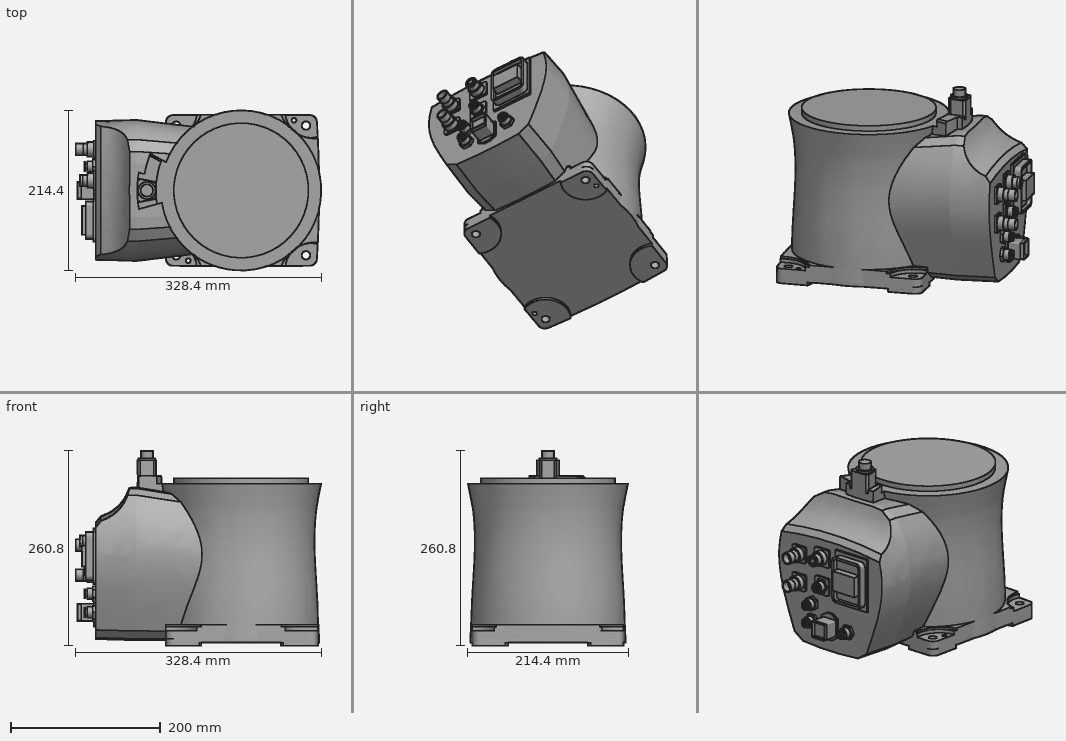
import cadquery as cq
import math

RIM_R = 107.22
RIM_TOP = 217.1
RIM_BOTTOM = 201.2
NECK_R = 104.0
WAIST_R = 98.4
WAIST_Z = 145.0
CALF_R = 99.8
CALF_Z = 100.0
SKIRT_R = 103.0
SKIRT_Z = 28.0
FOOT_R = 103.9
CAP_R = 90.0
CAP_TOP = 224.5

FEET_TOP = 4.4
PLATE_TOP = 9.5
PAD_TOP = 28.3
PAD_DRAFT = 1.0
CORNER_HALF = 100.8
SIDE_BOW_Y = 101.4
SIDE_BOW_X = 104.5
BASE_CORNER_R = 10.0
FOOT_PAD_R = 33.7
POCKET_FLOOR = 20.5
LEDGE_FLOOR = 25.5
POCKET_START_X = 59.0
LEDGE_START_X = 52.0
POCKET_MID = (77.5, 74.5)
POCKET_END_Y = 73.0
LEDGE_END_Y = 69.5
POCKET_OUT = 106.0
BOLT_HALF_PITCH = 86.7
BOLT_D = 11.0
DOWEL_X = 70.7
DOWEL_Y = 93.8
DOWEL_D = 6.0

PANEL_X = -194.5
SEAM_X = -139.8
INNER_X = -45.0
PANEL_SIZE = (93.0, 8.8, 210.5)
SEAM_SIZE = (94.5, 7.2, 212.0)
INNER_SIZE = (83.0, 8.0, 196.6)

SCOOP_BRINK = (-149.5, 211.5)
SCOOP_WALL = (-164.0, 187.0)
SCOOP_LIP = (-187.5, 173.4)
SCOOP_PANEL = (PANEL_X, 165.0)
SCOOP_END_HALF = 100.0
SCOOP_END_DROP = 8.5
CLEARANCE = 20.0

BRACKET_R = 139.0
ARM_R = 131.0
BRACKET_SEAT_R = 114.0
BRACKET_BOTTOM = 203.0
BRACKET_TOP = 227.4
ARM_END_CHAMFER = 2.5
POST_X = -126.0
POST_INNER_X = -113.8
POST_SEAT = 222.5
POST_TOP = 248.4
COLLAR_D = 23.0
COLLAR_TOP = 251.2
PLUG_D = 16.4
PLUG_TOP = 260.8

LARGE_SOCKETS = [(54.9, 134.8), (54.9, 94.7)]
MEDIUM_SOCKET = (13.4, 140.3)
FLANGED_GLAND = (13.4, 99.7)
POINTED_GLANDS = [(32.0, 44.8), (-32.3, 44.8)]
SIDEWAYS_GLAND = (32.0, 69.9)
SQUARE_PORT = (0.0, 44.8)
DISPLAY = (-39.9, 120.0)
FLANGE_T = 2.7
FLANGE_R = 3.0
SHOULDER_D = 19.8
SHOULDER_END_X = -205.4
LARGE_END_X = -221.16
MEDIUM_END_X = -215.7
HEX_T = 4.0
HEX_ACROSS_FLATS = 17.7
CORNER_UP = 30
CORNER_SIDEWAYS = 0
GLAND_FLANGE = 24.7
GLAND_D = 14.6
GLAND_END_X = -206.0
GLAND_NECK_D = 8.5
GLAND_DISC_D = 12.3
GLAND_DISC_X = -208.5
GLAND_TIP_X = -210.0
GLAND_BORE_D = 4.6
GLAND_BORE_DEPTH = 3.0


def on_panel(x, spot=(0, 0)):
    """Sketch plane facing -X at the given X; local x is -Y and local y is Z."""
    return cq.Workplane(cq.Plane((x, spot[0], spot[1]), (0, -1, 0), (-1, 0, 0)))


def cylinder(spot, d, x_start, x_end):
    return on_panel(x_start, spot).circle(d / 2).extrude(x_start - x_end)


def block(spot, width, height, x_start, x_end):
    return on_panel(x_start, spot).rect(width, height).extrude(x_start - x_end)


def disc(z_bottom, z_top, d, x=0):
    return cq.Workplane("XY", (x, 0, z_bottom)).circle(d / 2).extrude(z_top - z_bottom)


def make_column():
    body = (
        cq.Workplane("YZ")
        .moveTo(0, FEET_TOP)
        .lineTo(-FOOT_R, FEET_TOP)
        .lineTo(-FOOT_R, PLATE_TOP)
        .lineTo(-SKIRT_R, SKIRT_Z)
        .spline([(-CALF_R, CALF_Z), (-WAIST_R, WAIST_Z), (-NECK_R, RIM_BOTTOM)], includeCurrent=True)
        .lineTo(-RIM_R, RIM_TOP)
        .lineTo(0, RIM_TOP)
        .close()
        .revolve(360, (0, 0), (0, 1))
    )
    behind_base = (
        cq.Workplane("XY", (-CORNER_HALF, 0, FEET_TOP))
        .rect(RIM_R, 2 * RIM_R)
        .extrude(PAD_TOP - FEET_TOP)
        .translate((-RIM_R / 2, 0, 0))
    )
    return body.cut(behind_base).union(disc(RIM_TOP, CAP_TOP, 2 * CAP_R))


def base_slab(z_bottom, z_top, draft=0):
    """Base outline with three bowed edges and a straight -X edge."""
    c = CORNER_HALF
    return (
        cq.Workplane("XY", (0, 0, z_bottom))
        .moveTo(-c, -c)
        .threePointArc((0, -SIDE_BOW_Y), (c, -c))
        .threePointArc((SIDE_BOW_X, 0), (c, c))
        .threePointArc((0, SIDE_BOW_Y), (-c, c))
        .close()
        .extrude(z_top - z_bottom, taper=draft)
        .edges("not(<Z or >Z)")
        .fillet(BASE_CORNER_R)
    )


def corner_pocket(start_x, end_y, floor):
    return (
        cq.Workplane("XY", (0, 0, floor))
        .moveTo(start_x, POCKET_OUT)
        .threePointArc(POCKET_MID, (POCKET_OUT, end_y))
        .lineTo(POCKET_OUT, POCKET_OUT)
        .close()
        .extrude(PAD_TOP - floor)
    )


def at_four_corners(shape):
    """The shape in the +X +Y corner and its three mirror images."""
    pair = shape.union(shape.mirror("YZ"))
    return pair.union(pair.mirror("XZ"))


def bolt_circles(d, height):
    return (
        cq.Workplane("XY")
        .rect(2 * BOLT_HALF_PITCH, 2 * BOLT_HALF_PITCH, forConstruction=True)
        .vertices()
        .circle(d / 2)
        .extrude(height)
    )


def make_base():
    plate = base_slab(FEET_TOP, PLATE_TOP)
    pads = base_slab(PLATE_TOP, PAD_TOP, PAD_DRAFT)
    feet = bolt_circles(2 * FOOT_PAD_R, FEET_TOP).intersect(base_slab(0, FEET_TOP))
    return plate.union(pads).union(feet)


def corner_cuts():
    pocket = corner_pocket(POCKET_START_X, POCKET_END_Y, POCKET_FLOOR)
    ledge = corner_pocket(LEDGE_START_X, LEDGE_END_Y, LEDGE_FLOOR)
    return at_four_corners(pocket.union(ledge))


def base_holes():
    bolts = bolt_circles(BOLT_D, PAD_TOP)
    dowels = (
        cq.Workplane("XY")
        .pushPoints([(DOWEL_X, DOWEL_Y), (-DOWEL_X, -DOWEL_Y)])
        .circle(DOWEL_D / 2)
        .extrude(PAD_TOP)
    )
    return bolts.union(dowels)


def housing_section(x, size):
    """Closed outline of the housing at X, scaled from the seam section."""
    half, bottom, top = size
    y_scale = half / SEAM_SIZE[0]
    z_scale = (top - bottom) / (SEAM_SIZE[2] - SEAM_SIZE[1])

    def at(y, z):
        return cq.Vector(x, y * y_scale, bottom + (z - SEAM_SIZE[1]) * z_scale)

    shoulder = (68.0, 201.5)
    hip = (66.0, 20.0)
    roof = [(36.5, SEAM_SIZE[2]), (52.0, 210.5), shoulder]
    flank = [shoulder, (87.2, 167.0), (SEAM_SIZE[0], 127.0), (82.5, 64.0), hip]
    keel = [hip, (50.0, 9.5)]

    def half_outline(side):
        edges = []
        for run in (roof, keel):
            for a, b in zip(run, run[1:]):
                edges.append(cq.Edge.makeLine(at(side * a[0], a[1]), at(side * b[0], b[1])))
        edges.append(cq.Edge.makeSpline([at(side * y, z) for y, z in flank]))
        return edges

    roof_y, roof_z = roof[0]
    keel_y, keel_z = keel[-1]
    flat = cq.Edge.makeLine(at(-roof_y, roof_z), at(roof_y, roof_z))
    belly = cq.Edge.makeThreePointArc(
        at(-keel_y, keel_z), at(0, SEAM_SIZE[1]), at(keel_y, keel_z)
    )
    return cq.Wire.combine([flat, belly] + half_outline(1) + half_outline(-1))[0]


def scoop_section(y, drop):
    """Section at Y of the volume removed above the panel, lowered by drop."""
    def at(x, z):
        return cq.Vector(x, y, z - drop)

    high = SCOOP_BRINK[1] + 2 * CLEARANCE
    step_x = SCOOP_BRINK[0] - SCOOP_WALL[0]
    step_z = SCOOP_BRINK[1] - SCOOP_WALL[1]
    above = (SCOOP_BRINK[0] + step_x, SCOOP_BRINK[1] + step_z)
    beyond_x = PANEL_X - CLEARANCE
    hollow = cq.Edge.makeSpline([at(*p) for p in (SCOOP_BRINK, SCOOP_WALL, SCOOP_LIP)])
    rest = [SCOOP_LIP, SCOOP_PANEL, (beyond_x, SCOOP_PANEL[1]), (beyond_x, high), above, SCOOP_BRINK]
    straights = [cq.Edge.makeLine(at(*a), at(*b)) for a, b in zip(rest, rest[1:])]
    return cq.Wire.assembleEdges([hollow] + straights)


def make_housing():
    outer = [housing_section(PANEL_X, PANEL_SIZE), housing_section(SEAM_X, SEAM_SIZE)]
    inner = [housing_section(SEAM_X, SEAM_SIZE), housing_section(INNER_X, INNER_SIZE)]
    front = cq.Workplane(obj=cq.Solid.makeLoft(outer, True))
    back = cq.Workplane(obj=cq.Solid.makeLoft(inner, True))
    stations = [
        (-SCOOP_END_HALF, SCOOP_END_DROP),
        (0, 0),
        (SCOOP_END_HALF, SCOOP_END_DROP),
    ]
    scoop = cq.Solid.makeLoft([scoop_section(y, drop) for y, drop in stations])
    return front.cut(cq.Workplane(obj=scoop)).union(back)


def on_circle(r, y):
    return (-math.sqrt(r * r - y * y), y)


def make_bracket():
    """Ring segment beside the rim: a wide part under the post and a narrower arm."""
    wide_end_inner = (-100.0, -14.7)
    arm_end_inner = (-98.0, 36.5)
    arm_end_outer = on_circle(ARM_R, 49.0)
    arm_end_middle = (
        (arm_end_inner[0] + arm_end_outer[0]) / 2,
        (arm_end_inner[1] + arm_end_outer[1]) / 2,
        BRACKET_TOP,
    )
    notch_half_outer = 16.5
    notch_half_inner = 11.2
    post_gap = 0.9
    notch_inner_x = POST_INNER_X + post_gap
    notch_outer_x = -BRACKET_R - post_gap
    notch = (
        cq.Workplane("XY", (0, 0, POST_SEAT))
        .moveTo(notch_outer_x, -notch_half_outer)
        .lineTo(notch_outer_x, notch_half_outer)
        .lineTo(notch_inner_x, notch_half_inner)
        .lineTo(notch_inner_x, -notch_half_inner)
        .close()
        .extrude(BRACKET_TOP - POST_SEAT)
    )
    return (
        cq.Workplane("XY", (0, 0, BRACKET_BOTTOM))
        .moveTo(*wide_end_inner)
        .lineTo(*on_circle(BRACKET_R, -25.0))
        .threePointArc((-BRACKET_R, 0), on_circle(BRACKET_R, 24.0))
        .lineTo(*on_circle(ARM_R, 22.0))
        .threePointArc(on_circle(ARM_R, 36.0), arm_end_outer)
        .lineTo(*arm_end_inner)
        .close()
        .extrude(BRACKET_TOP - BRACKET_BOTTOM)
        .cut(disc(RIM_TOP, BRACKET_TOP, 2 * BRACKET_SEAT_R))
        .edges(cq.NearestToPointSelector(arm_end_middle))
        .chamfer(ARM_END_CHAMFER)
        .cut(notch)
    )


def make_post():
    """Tapered octagonal post whose outer face follows the bracket arc."""
    flank = [(-135.0, 15.2), (-117.0, 11.0), (POST_INNER_X, 8.5)]
    outer_half = 13.0
    return (
        cq.Workplane("XY", (0, 0, POST_SEAT))
        .moveTo(*on_circle(BRACKET_R, -outer_half))
        .threePointArc((-BRACKET_R, 0), on_circle(BRACKET_R, outer_half))
        .polyline(flank + [(x, -y) for x, y in reversed(flank)], includeCurrent=True)
        .close()
        .extrude(POST_TOP - POST_SEAT)
    )


def make_top_connector():
    collar = disc(POST_TOP, COLLAR_TOP, COLLAR_D, POST_X)
    plug = disc(COLLAR_TOP, PLUG_TOP, PLUG_D, POST_X)
    return make_bracket().union(make_post()).union(collar).union(plug)


def square_flange(spot, width, height):
    return block(spot, width, height, PANEL_X, PANEL_X - FLANGE_T).edges("|X").fillet(FLANGE_R)


def large_socket(spot):
    flange_size = 23.4
    barrel_d = 15.9
    bore_d = 13.4
    bore_depth = 10.0
    return (
        square_flange(spot, flange_size, flange_size)
        .union(cylinder(spot, SHOULDER_D, PANEL_X, SHOULDER_END_X))
        .union(cylinder(spot, barrel_d, SHOULDER_END_X, LARGE_END_X))
        .cut(cylinder(spot, bore_d, LARGE_END_X + bore_depth, LARGE_END_X))
    )


def medium_socket(spot):
    barrel_d = 15.2
    bore_d = 12.4
    pin_d = 8.0
    flange_width = 26.3
    flange_height = 25.1
    bore_depth = 4.0
    ring = cylinder(spot, bore_d, MEDIUM_END_X + bore_depth, MEDIUM_END_X)
    pin = cylinder(spot, pin_d, MEDIUM_END_X + bore_depth, MEDIUM_END_X)
    return (
        square_flange(spot, flange_width, flange_height)
        .union(cylinder(spot, SHOULDER_D, PANEL_X, SHOULDER_END_X))
        .union(cylinder(spot, barrel_d, SHOULDER_END_X, MEDIUM_END_X))
        .cut(ring.cut(pin))
    )


def gland(spot, turn):
    """Hexagon nut, barrel, neck and end disc; turn is the nut angle in degrees."""
    nut = (
        on_panel(PANEL_X, spot)
        .transformed(rotate=(0, 0, turn))
        .polygon(6, HEX_ACROSS_FLATS, circumscribed=True)
        .extrude(HEX_T)
    )
    return (
        nut.union(cylinder(spot, GLAND_D, PANEL_X, GLAND_END_X))
        .union(cylinder(spot, GLAND_NECK_D, GLAND_END_X, GLAND_DISC_X))
        .union(cylinder(spot, GLAND_DISC_D, GLAND_DISC_X, GLAND_TIP_X))
        .cut(cylinder(spot, GLAND_BORE_D, GLAND_TIP_X + GLAND_BORE_DEPTH, GLAND_TIP_X))
    )


def square_port(spot):
    nut_half_width = 14.0
    nut_half_height = 19.0
    nut_shoulder = 13.0
    shoulder_half = 4.5
    box = 23.6
    opening = 21.2
    opening_depth = 5.0
    edge_r = 2.0
    end_x = -219.0
    nut = (
        on_panel(PANEL_X, spot)
        .polyline([
            (nut_half_width, -nut_shoulder),
            (nut_half_width, nut_shoulder),
            (shoulder_half, nut_half_height),
            (-shoulder_half, nut_half_height),
            (-nut_half_width, nut_shoulder),
            (-nut_half_width, -nut_shoulder),
            (-shoulder_half, -nut_half_height),
            (shoulder_half, -nut_half_height),
        ])
        .close()
        .extrude(FLANGE_T)
    )
    return (
        nut.union(block(spot, box, box, PANEL_X, end_x).edges("|X").fillet(edge_r))
        .cut(block(spot, opening, opening, end_x + opening_depth, end_x))
    )


def display(spot):
    plate_width = 57.1
    plate_height = 75.0
    key_width = 38.7
    key_height = 28.0
    plate_x = -197.6
    frame_x = -207.8
    frame_corner_r = 7.0
    frame_width = 50.4
    frame_height = 64.8
    frame_wall = 3.4
    floor_x = -202.0
    key_x = -213.0
    plate = block(spot, plate_width, plate_height, PANEL_X, plate_x)
    frame = (
        block(spot, frame_width, frame_height, plate_x, frame_x)
        .edges("|X")
        .fillet(frame_corner_r)
    )
    recess_width = frame_width - 2 * frame_wall
    recess_height = frame_height - 2 * frame_wall
    recess = (
        block(spot, recess_width, recess_height, floor_x, frame_x)
        .edges("|X")
        .fillet(frame_corner_r - frame_wall)
    )
    key = block(spot, key_width, key_height, floor_x, key_x)
    return plate.union(frame).cut(recess).union(key)


def panel_parts():
    parts = [large_socket(spot) for spot in LARGE_SOCKETS]
    parts.append(medium_socket(MEDIUM_SOCKET))
    parts.append(square_flange(FLANGED_GLAND, GLAND_FLANGE, GLAND_FLANGE))
    parts.append(gland(FLANGED_GLAND, CORNER_UP))
    parts.extend(gland(spot, CORNER_UP) for spot in POINTED_GLANDS)
    parts.append(gland(SIDEWAYS_GLAND, CORNER_SIDEWAYS))
    parts.append(square_port(SQUARE_PORT))
    parts.append(display(DISPLAY))
    return parts


base = make_base().cut(corner_cuts())
result = base.union(make_column()).union(make_housing()).cut(base_holes())
result = result.union(make_top_connector())
for part in panel_parts():
    result = result.union(part)